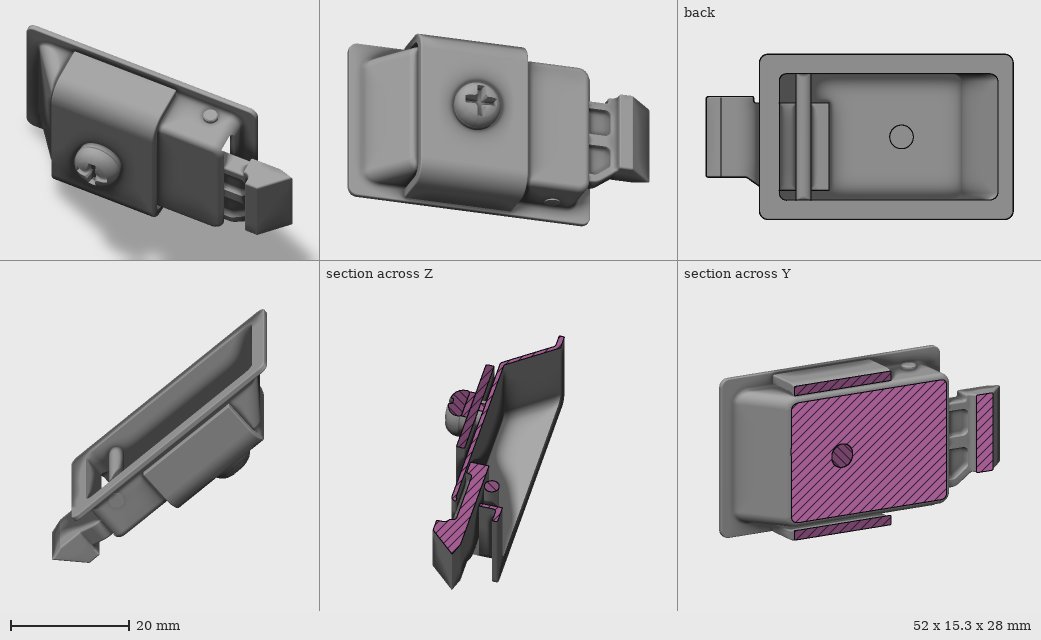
import cadquery as cq
import math


FLANGE_LENGTH = 43.0
FLANGE_HEIGHT = 28.0
FLANGE_THICKNESS = 1.0
FLANGE_CORNER_RADIUS = 1.5
FLANGE_EDGE_RADIUS = 0.2
WALL = 0.8
CUP_DEPTH = 9.0
CUP_HEIGHT = 22.95
CUP_RIGHT = 40.4
CUP_SLOPE_START = 2.4
SLOPE_ANGLE = 37.2
CUP_CORNER_RADIUS = 2.05
CUP_FLOOR_RADIUS = 1.0
CUP_ROOT_RADIUS = 0.5
SLOT_HEIGHT = 21.6
SLOT_BACK = 3.95
SLOT_CORNER_RADIUS = 1.05

PIN_DIAMETER = 2.6
PIN_X = 35.5
PIN_Y = -3.05
PIN_TOP = 12.2
PIN_BOTTOM = -11.7
PIN_CHAMFER = 0.2

BRACKET_LEFT = 9.45
BRACKET_WIDTH = 19.1
BRACKET_HEIGHT = 27.7
BRACKET_THICKNESS = 1.5
BRACKET_FRONT = 11.2
BRACKET_LEG_END = 1.9
BRACKET_BEND_RADIUS = 3.65
BRACKET_EDGE_RADIUS = 0.25
BRACKET_LEG_END_RADIUS = 0.15

SCREW_X = 18.9
SHANK_DIAMETER = 4.0
HEAD_DIAMETER = 8.0
DOME_RADIUS = 2.35
HEAD_EDGE_CHAMFER = 0.2
WASHER_DIAMETER = 7.8
WASHER_THICKNESS = 1.05
WASHER_CHAMFER = 0.1
SPACER_DIAMETER = 5.6
SCREW_HEAD_FRONT = 15.3
RECESS_DEPTH = 1.55
RECESS_LENGTH = 5.8
RECESS_WIDTH = 1.5
RECESS_TAPER = 17
RECESS_CORE_SIDE = 2.7
RECESS_CORE_TAPER = 28

LATCH_TIP = 51.95
LATCH_INNER_END = 31.2
LATCH_BACK = 4.7
LATCH_FRONT = 8.0
LATCH_TIP_DEPTH = 5.5
HOOK_FRONT = 10.1
NECK_TOP = 5.75
NECK_BOTTOM = -9.1
HEAD_HEIGHT = 13.7
HEAD_SHOULDER = 43.9
HOOK_LEFT = 45.2
HOOK_RIGHT = 47.55
BACK_BEVEL_START = 49.4
HOOK_ROOT_RADIUS = 0.95
SHOULDER_RADIUS = 0.35
HAUNCH_START = 41.95
HAUNCH_END = 45.1
HAUNCH_RADIUS = 2.6
LATCH_EDGE_RADIUS = 0.3
HOOK_EDGE_RADIUS = 0.2

POCKET_LEFT = 33.8
POCKET_RIGHT = 44.45
POCKET_DEPTH = 1.05
POCKET_TAPER = 11
POCKET_CORNER_RADIUS = 1.25
POCKET_FLOOR_RADIUS = 0.5
UPPER_POCKET_TOP = 4.4
UPPER_POCKET_BOTTOM = -0.3
LOWER_POCKET_TOP = -2.3
LOWER_POCKET_BOTTOM = -7.7
LOWER_POCKET_SLOPE_START = 41.75
LOWER_POCKET_SLOPE_TOP = -5.7


def face_plane(depth, x=0):
    """Plane at a depth below the flange's back face; local X and Y are world X and Z, normal -Y."""
    return cq.Workplane("XZ", origin=(x, -depth, 0))


def disc(diameter, front_depth, back_depth):
    """Cylinder on the screw axis between two depths."""
    return face_plane(back_depth, SCREW_X).circle(diameter / 2).extrude(front_depth - back_depth)


def cup_block(inset, depth_from, depth_to):
    """Wedge-ended block with rounded corners, every wall moved inward by `inset`."""
    slope = math.tan(math.radians(SLOPE_ANGLE))
    left_at_flange = CUP_SLOPE_START + inset / math.cos(math.radians(SLOPE_ANGLE))
    right = CUP_RIGHT - inset

    def left_at(depth):
        return left_at_flange + (depth - FLANGE_THICKNESS) * slope

    outline = [
        (left_at(depth_from), -depth_from),
        (right, -depth_from),
        (right, -depth_to),
        (left_at(depth_to), -depth_to),
    ]
    block = cq.Workplane("XY").polyline(outline).close().extrude(CUP_HEIGHT / 2 - inset, both=True)
    block = block.edges("not (|X or |Z)").fillet(CUP_CORNER_RADIUS - inset)
    return block.faces("<Y").edges().fillet(CUP_FLOOR_RADIUS - inset)


def make_housing():
    flange = face_plane(0, FLANGE_LENGTH / 2).rect(FLANGE_LENGTH, FLANGE_HEIGHT).extrude(FLANGE_THICKNESS)
    flange = flange.edges("|Y").fillet(FLANGE_CORNER_RADIUS)
    flange = flange.faces("|Y").edges().fillet(FLANGE_EDGE_RADIUS)
    housing = flange.union(cup_block(0, FLANGE_THICKNESS / 2, CUP_DEPTH))
    half_flat = FLANGE_HEIGHT / 2 - FLANGE_CORNER_RADIUS
    flange_front = cq.selectors.BoxSelector(
        (FLANGE_CORNER_RADIUS, -FLANGE_THICKNESS - FLANGE_EDGE_RADIUS, -half_flat),
        (FLANGE_LENGTH - FLANGE_CORNER_RADIUS, -FLANGE_THICKNESS + FLANGE_EDGE_RADIUS, half_flat),
        boundingbox=True,
    )
    housing = housing.edges(flange_front).fillet(CUP_ROOT_RADIUS)
    housing = housing.cut(cup_block(WALL, 0, CUP_DEPTH - WALL))
    return housing.cut(latch_slot()).cut(pin_cylinder()).cut(shank())


def latch_slot():
    slot_depth = LATCH_FRONT - SLOT_BACK
    middle = -(SLOT_BACK + LATCH_FRONT) / 2
    slot_length = 2 * CUP_CORNER_RADIUS
    slot = cq.Workplane("XY").box(slot_length, slot_depth, SLOT_HEIGHT).translate((CUP_RIGHT, middle, 0))
    return slot.edges("|X and >Y").fillet(SLOT_CORNER_RADIUS)


def pin_cylinder():
    base = cq.Workplane("XY", origin=(PIN_X, PIN_Y, PIN_BOTTOM))
    return base.circle(PIN_DIAMETER / 2).extrude(PIN_TOP - PIN_BOTTOM)


def make_pin():
    return pin_cylinder().faces(">Z").edges().chamfer(PIN_CHAMFER)


def make_bracket():
    length = BRACKET_FRONT - BRACKET_LEG_END
    middle = -(BRACKET_FRONT + BRACKET_LEG_END) / 2
    outer = cq.Workplane("XY").box(BRACKET_WIDTH, length, BRACKET_HEIGHT)
    outer = outer.edges("|X and <Y").fillet(BRACKET_BEND_RADIUS)
    outer = outer.edges("(<X or >X) and (not >Y)").fillet(BRACKET_EDGE_RADIUS)
    inner = cq.Workplane("XY").box(BRACKET_WIDTH, length, BRACKET_HEIGHT - 2 * BRACKET_THICKNESS)
    inner = inner.edges("|X and <Y").fillet(BRACKET_BEND_RADIUS - BRACKET_THICKNESS)
    bracket = outer.cut(inner.translate((0, BRACKET_THICKNESS, 0)))
    bracket = bracket.faces(">Y").edges("|X").fillet(BRACKET_LEG_END_RADIUS)
    bracket = bracket.translate((BRACKET_LEFT + BRACKET_WIDTH / 2, middle, 0))
    return bracket.cut(shank())


def shank():
    """Screw shank from the inside of the cup floor to the underside of the head."""
    return disc(SHANK_DIAMETER, BRACKET_FRONT + WASHER_THICKNESS, CUP_DEPTH - WALL)


def make_spacer():
    return disc(SPACER_DIAMETER, BRACKET_FRONT - BRACKET_THICKNESS, CUP_DEPTH).cut(shank())


def make_washer():
    washer = disc(WASHER_DIAMETER, BRACKET_FRONT + WASHER_THICKNESS, BRACKET_FRONT)
    return washer.edges().chamfer(WASHER_CHAMFER).cut(shank())


def make_screw():
    head = disc(HEAD_DIAMETER, SCREW_HEAD_FRONT, BRACKET_FRONT + WASHER_THICKNESS)
    head = head.faces("<Y").edges().fillet(DOME_RADIUS)
    head = head.faces(">Y").edges().chamfer(HEAD_EDGE_CHAMFER)
    return head.cut(cross_recess()).union(shank())


def cross_recess():
    top = face_plane(SCREW_HEAD_FRONT, SCREW_X)
    across = top.rect(RECESS_LENGTH, RECESS_WIDTH).extrude(-RECESS_DEPTH, taper=RECESS_TAPER)
    upright = top.rect(RECESS_WIDTH, RECESS_LENGTH).extrude(-RECESS_DEPTH, taper=RECESS_TAPER)
    core = top.transformed(rotate=(0, 0, 45)).rect(RECESS_CORE_SIDE, RECESS_CORE_SIDE)
    return across.union(upright).union(core.extrude(-RECESS_DEPTH, taper=RECESS_CORE_TAPER))


def edge_at(x, y, z):
    """Selector for the edge whose middle is nearest to a point."""
    return cq.selectors.NearestToPointSelector((x, y, z))


def latch_front_shape():
    """Outline of the latch in X and Z, extruded to the depth of its hook."""
    head_half = HEAD_HEIGHT / 2
    outline = [
        (LATCH_INNER_END, NECK_TOP),
        (HEAD_SHOULDER, NECK_TOP),
        (HEAD_SHOULDER, head_half),
        (LATCH_TIP, head_half),
        (LATCH_TIP, -head_half),
        (HAUNCH_END, -head_half),
        (HAUNCH_START, NECK_BOTTOM),
        (LATCH_INNER_END, NECK_BOTTOM),
    ]
    shape = face_plane(0).polyline(outline).close().extrude(HOOK_FRONT)
    shape = shape.edges(edge_at(HEAD_SHOULDER, -HOOK_FRONT / 2, NECK_TOP)).fillet(SHOULDER_RADIUS)
    return shape.edges(edge_at(HAUNCH_START, -HOOK_FRONT / 2, NECK_BOTTOM)).fillet(HAUNCH_RADIUS)


def latch_hook_shape():
    """Outline of the latch in X and Y, with the hook and its bevels, taller than the latch."""
    outline = [
        (LATCH_INNER_END, -LATCH_BACK),
        (BACK_BEVEL_START, -LATCH_BACK),
        (LATCH_TIP, -LATCH_TIP_DEPTH),
        (HOOK_RIGHT, -HOOK_FRONT),
        (HOOK_LEFT, -HOOK_FRONT),
        (HOOK_LEFT, -LATCH_FRONT),
        (LATCH_INNER_END, -LATCH_FRONT),
    ]
    shape = cq.Workplane("XY").polyline(outline).close().extrude(CUP_HEIGHT / 2, both=True)
    shape = shape.edges(edge_at(HOOK_LEFT, -LATCH_FRONT, 0)).fillet(HOOK_ROOT_RADIUS)
    return shape.edges("|Z and <Y").fillet(HOOK_EDGE_RADIUS)


def make_latch():
    latch = latch_front_shape().intersect(latch_hook_shape())
    latch = latch.edges("not (|Z or <X)").fillet(LATCH_EDGE_RADIUS)
    return latch.cut(upper_pocket()).cut(lower_pocket())


def upper_pocket():
    return pocket([
        (POCKET_LEFT, UPPER_POCKET_TOP),
        (POCKET_RIGHT, UPPER_POCKET_TOP),
        (POCKET_RIGHT, UPPER_POCKET_BOTTOM),
        (POCKET_LEFT, UPPER_POCKET_BOTTOM),
    ])


def lower_pocket():
    return pocket([
        (POCKET_LEFT, LOWER_POCKET_TOP),
        (POCKET_RIGHT, LOWER_POCKET_TOP),
        (POCKET_RIGHT, LOWER_POCKET_SLOPE_TOP),
        (LOWER_POCKET_SLOPE_START, LOWER_POCKET_BOTTOM),
        (POCKET_LEFT, LOWER_POCKET_BOTTOM),
    ])


def pocket(outline):
    """Rounded pocket, drafted towards a filleted floor, open towards -Y."""
    rounded = face_plane(LATCH_FRONT).polyline(outline).close().extrude(-POCKET_DEPTH)
    rounded = rounded.edges("|Y").fillet(POCKET_CORNER_RADIUS)
    mouth = rounded.faces("<Y").wires().toPending()
    drafted = mouth.extrude(-POCKET_DEPTH, combine=False, taper=POCKET_TAPER)
    return drafted.faces(">Y").edges().fillet(POCKET_FLOOR_RADIUS)


housing = make_housing()
pin = make_pin()
bracket = make_bracket()
spacer = make_spacer()
washer = make_washer()
screw = make_screw()
latch = make_latch()

result = cq.Compound.makeCompound([
    housing.solids().val(),
    pin.solids().val(),
    bracket.solids().val(),
    spacer.solids().val(),
    washer.solids().val(),
    screw.solids().val(),
    latch.solids().val(),
])